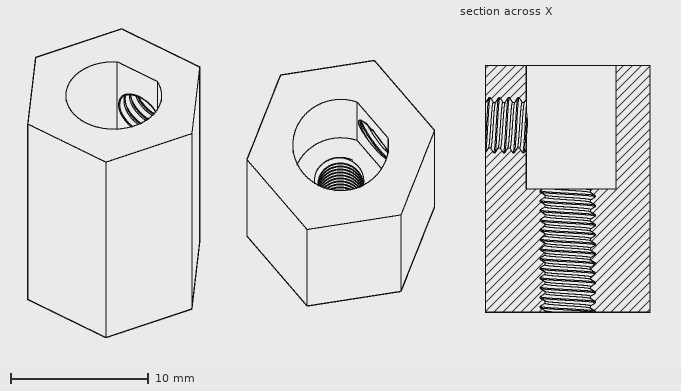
import cadquery as cq
import math

length = 18.0
across_flats = 12.0
across_corners = across_flats / math.cos(math.pi / 6)

bore_radius = 3.5
bore_flat_y = 3.0
bore_depth = length / 2

pitch = 0.7
thread_major_radius = 2.0
thread_minor_radius = 1.65
root_width = pitch / 8
groove_mouth_width = pitch * 3 / 4
groove_overlap = 0.04

set_screw_start_angle = -30
set_screw_depth = 4.35


def groove_turn(start_angle):
    """One turn of the helical groove about Z, rising from z = 0 at start_angle."""
    inner_radius = thread_minor_radius - groove_overlap
    flank_slope = (groove_mouth_width - root_width) / 2 / (thread_major_radius - thread_minor_radius)
    half_inner = groove_mouth_width / 2 + flank_slope * groove_overlap
    half_root = root_width / 2
    helix = cq.Wire.makeHelix(pitch, pitch, thread_minor_radius)
    return (
        cq.Workplane("XZ")
        .polyline([
            (inner_radius, -half_inner),
            (thread_major_radius, -half_root),
            (thread_major_radius, half_root),
            (inner_radius, half_inner),
        ])
        .close()
        .sweep(cq.Workplane(obj=helix), isFrenet=True)
        .rotate((0, 0, 0), (0, 0, 1), start_angle)
    )


def tap_core(cut_length):
    """Plain cylinder at the thread's minor diameter, from z = 0 upward."""
    return cq.Workplane("XY").circle(thread_minor_radius).extrude(cut_length)


def thread_turns(cut_length, start_angle):
    """Groove turns stacked along Z, overrunning both ends of the cut length."""
    first_turn = groove_turn(start_angle)
    last_turn = math.ceil(cut_length / pitch)
    return [first_turn.translate((0, 0, turn * pitch)) for turn in range(-1, last_turn + 1)]


def place_set_screw(cutter):
    """Turn a cutter from +Z to +Y and raise it to the set-screw axis."""
    return cutter.rotate((0, 0, 0), (1, 0, 0), -90).translate((0, 0, length - set_screw_depth))


def d_bore():
    """Round bore with a flat on its +Y side."""
    bore = cq.Workplane("XY").circle(bore_radius).extrude(bore_depth)
    keep = (
        cq.Workplane("XY")
        .rect(2 * bore_radius, bore_radius + bore_flat_y)
        .extrude(bore_depth)
        .translate((0, (bore_flat_y - bore_radius) / 2, 0))
    )
    return bore.intersect(keep).translate((0, 0, length - bore_depth))


body = cq.Workplane("XY").polygon(6, across_corners).extrude(length)

body = body.cut(d_bore())
stud_length = length - bore_depth
set_screw_length = across_flats / 2
body = body.cut(tap_core(stud_length))
body = body.cut(place_set_screw(tap_core(set_screw_length)))

stud_start_angle = 180 - 360 * stud_length / pitch
for groove in thread_turns(stud_length, stud_start_angle):
    body = body.cut(groove)

wall = across_flats / 2 - bore_flat_y
for groove in thread_turns(wall, set_screw_start_angle):
    body = body.cut(place_set_screw(groove.translate((0, 0, bore_flat_y))))

result = body